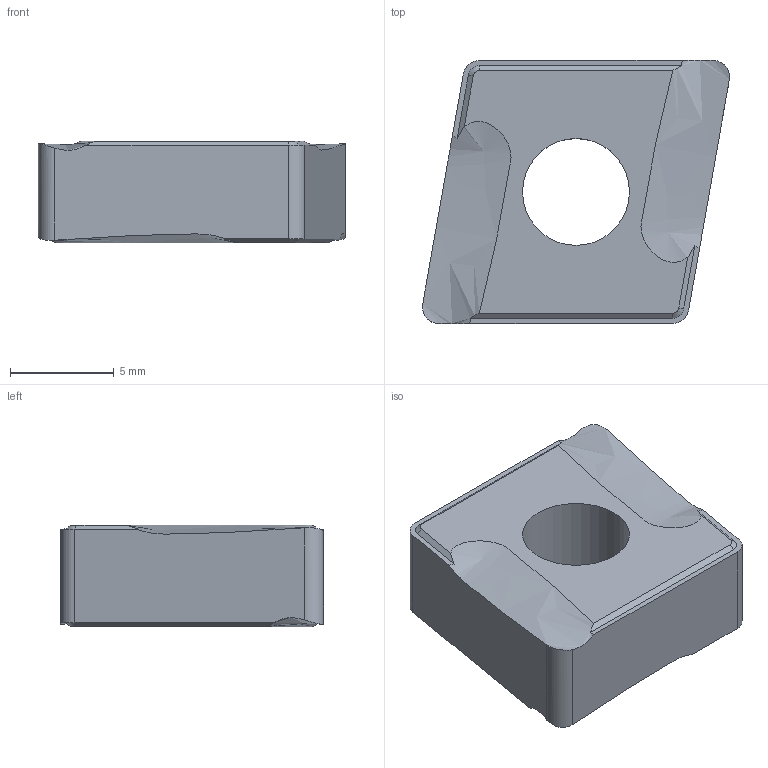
import cadquery as cq
import math

inscribed_circle = 12.7
nose_angle = 80.0
nose_radius = 0.794
thickness = 4.91
hole_diameter = 5.16

ledge_width = 0.25
bevel_width = 0.24
ledge_depth = 0.19

groove_width = 2.98
groove_width_at_nose = 2.72
full_width_along = -2.57
groove_end_radius = 1.77
groove_end_along = 0.77
groove_end_runout = 1.64
groove_end_rim_along = 2.21
groove_end_rim_across = 0.53
nose_depth = 0.13
cutting_edge_dip = [(0.81, 0.40), (-0.7, 0.41), (-2.13, 0.39), (-4.98, 0.19), (-5.92, 0.145)]
end_edge_dip = [(0.6, 0.24), (1.47, 0.445), (1.92, 0.41), (2.42, 0.20)]
floor_across = 1.45
floor_depths = [(1.3, 0.23), (-0.5, 0.24), (-5.3, 0.14)]
cutter_overlap = 0.02
cutter_height = 1.0

half_thickness = thickness / 2
nose_rad = math.radians(nose_angle)
side_length = inscribed_circle / math.sin(nose_rad)
along_edge = cq.Vector(math.cos(nose_rad), math.sin(nose_rad), 0)
across_edge = cq.Vector(math.sin(nose_rad), -math.cos(nose_rad), 0)
up = cq.Vector(0, 0, 1)
nose_along = -inscribed_circle / 2 / math.tan(nose_rad / 2)
long_diagonal = (math.cos(nose_rad / 2), math.sin(nose_rad / 2), 0)


def edge_point(along, across, height):
    """Point placed from where the left cutting edge comes nearest the centre."""
    edge_distance = across - inscribed_circle / 2
    return along_edge * along + across_edge * edge_distance + up * height


def rhombus_prism(inset, height):
    """Rounded rhombus, inset all round and centred on the middle plane."""
    half_depth = inscribed_circle / 2 - inset
    half_side = half_depth / math.sin(nose_rad)
    lean = half_depth / math.tan(nose_rad)
    corners = [
        (-half_side - lean, -half_depth),
        (half_side - lean, -half_depth),
        (half_side + lean, half_depth),
        (-half_side + lean, half_depth),
    ]
    prism = cq.Workplane("XY").polyline(corners).close().extrude(height / 2, both=True)
    return prism.edges("|Z").fillet(nose_radius - inset)


def stepped_body():
    """Rhombus at ledge level with the bevelled plateau standing above and below it."""
    ledge_body = rhombus_prism(0, thickness - 2 * ledge_depth)
    plateau = rhombus_prism(ledge_width, thickness)
    plateau = plateau.faces("|Z").chamfer(ledge_depth, bevel_width)
    return ledge_body.union(plateau)


def groove_stock():
    """Full-height strip beside the cutting edge, where the groove replaces the ledge."""
    half_width = groove_width / 2
    plane = cq.Plane(origin=edge_point(0, 0, 0), xDir=across_edge, normal=up)
    strip = (
        cq.Workplane(plane)
        .moveTo(-half_width, groove_end_along)
        .lineTo(half_width, groove_end_along)
        .lineTo(half_width, -side_length)
        .lineTo(-half_width, -side_length)
        .close()
        .extrude(half_thickness)
    )
    return strip.intersect(rhombus_prism(0, thickness))


def groove_point(along, across, depth):
    """Point of the top groove, at a depth below the plateau."""
    return edge_point(along, across, half_thickness - depth)


def end_edge_point(distance, depth):
    """Groove point on the end edge, just outside the end face, at a distance from the sharp nose."""
    along = nose_along + distance * math.cos(nose_rad)
    across = distance * math.sin(nose_rad)
    return groove_point(along, across, depth) - cq.Vector(0, cutter_overlap, 0)


def groove_cutter():
    """Dished floor stretched over the groove boundary and swept upward."""
    runout = groove_point(groove_end_runout, -cutter_overlap, ledge_depth)
    rim = groove_point(groove_end_rim_along, groove_end_rim_across, 0)
    end_centre_across = groove_width - groove_end_radius
    end_top = groove_point(groove_end_along + groove_end_radius, end_centre_across, 0)
    diagonal = groove_end_radius / math.sqrt(2)
    end_diagonal = groove_point(groove_end_along + diagonal, end_centre_across + diagonal, 0)
    end_side = groove_point(groove_end_along, groove_width, 0)
    inner_middle = groove_point(full_width_along, groove_width, 0)
    inner_nose = end_edge_point(groove_width_at_nose / math.sin(nose_rad), 0)
    nose = end_edge_point(-cutter_overlap, nose_depth)
    cutting_edge = [groove_point(along, -cutter_overlap, depth) for along, depth in cutting_edge_dip]
    end_edge = [end_edge_point(distance, depth) for distance, depth in end_edge_dip]
    boundary = [
        cq.Edge.makeSpline([runout] + cutting_edge + [nose]),
        cq.Edge.makeSpline([nose] + end_edge + [inner_nose]),
        cq.Edge.makeSpline([inner_nose, inner_middle, end_side]),
        cq.Edge.makeSpline([end_side, end_diagonal, end_top, rim]),
        cq.Edge.makeLine(rim, runout),
    ]
    floor_points = [groove_point(along, floor_across, depth) for along, depth in floor_depths]
    floor = cq.Face.makeNSidedSurface(boundary, floor_points, degree=2)
    return cq.Workplane(cq.Solid.extrudeLinear(floor, up * cutter_height))


def on_all_edges(tool):
    """The four copies: two on top, and two turned over the long diagonal onto the bottom."""
    turned_over = tool.rotate((0, 0, 0), long_diagonal, 180)
    copies = []
    for side in (tool, turned_over):
        copies.append(side)
        copies.append(side.rotate((0, 0, 0), (0, 0, 1), 180))
    return copies


result = stepped_body()
for stock in on_all_edges(groove_stock()):
    result = result.union(stock)
for cutter in on_all_edges(groove_cutter()):
    result = result.cut(cutter)
hole = cq.Workplane("XY", origin=(0, 0, -half_thickness)).circle(hole_diameter / 2).extrude(thickness)
result = result.cut(hole)